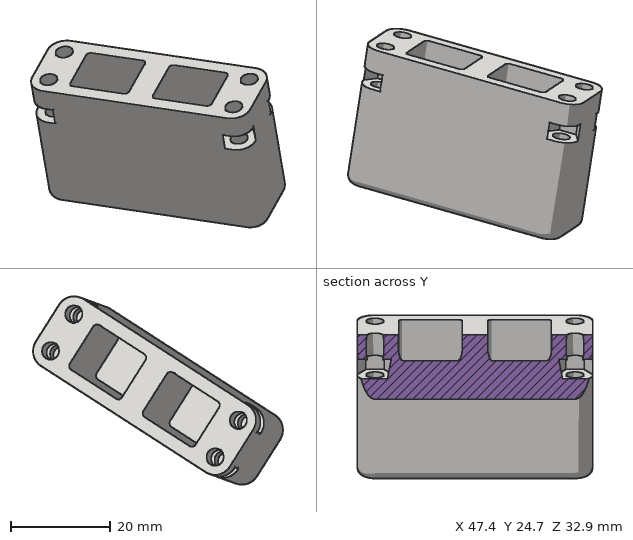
import cadquery as cq
import math

length = 47.4
depth = 16.0
height = 29.73
corner_radius = 3.6
bottom_radius = 1.8
tilt = 20.0

pocket_length = 12.75
pocket_width = 10.6
floor_thickness = 2.0
pocket_depth = height - floor_thickness
pocket_corner_radius = 0.9
pocket_spacing = 17.95

hole_diameter = 3.5
hole_depth = 11.85
hole_x = length / 2 - corner_radius
hole_y = depth / 2 - corner_radius

nut_side = 3.7
nut_apothem = nut_side * math.sqrt(3) / 2
slot_top_gap = 4.75
slot_height = 3.55


def make_block():
    """Rounded block standing upright on the XY plane."""
    block = cq.Workplane("XY").box(length, depth, height, centered=(True, True, False))
    return block.edges("|Z").fillet(corner_radius).faces("<Z").edges().fillet(bottom_radius)


def make_pockets():
    """Pair of rectangular pockets with rounded vertical edges."""
    return (
        cq.Workplane("XY", origin=(0, 0, floor_thickness))
        .rarray(pocket_spacing, 0.47, 2, 1)
        .rect(pocket_length, pocket_width)
        .extrude(pocket_depth)
        .edges("|Z")
        .fillet(pocket_corner_radius)
    )


def make_holes():
    """Four blind screw holes."""
    return (
        cq.Workplane("XY", origin=(0, 0, height - hole_depth))
        .rect(2 * hole_x, 2 * hole_y, forConstruction=True)
        .vertices()
        .circle(hole_diameter / 2)
        .extrude(hole_depth)
    )


def make_nut_slot(side_x, side_y):
    """Hexagonal nut seat around a screw hole, opened outward through the corner."""
    half_flat = nut_side / 2
    mouth_reach = nut_side - corner_radius / math.sqrt(3)
    outline = [
        (hole_x - mouth_reach, depth / 2),
        (hole_x - nut_side, hole_y),
        (hole_x - half_flat, hole_y - nut_apothem),
        (hole_x + half_flat, hole_y - nut_apothem),
        (hole_x + nut_side, hole_y),
        (length / 2, depth / 2),
    ]
    return (
        cq.Workplane("XY", origin=(0, 0, height - slot_top_gap - slot_height))
        .polyline([(side_x * x, side_y * y) for x, y in outline])
        .close()
        .extrude(slot_height)
    )


body = make_block().cut(make_pockets()).cut(make_holes())
for side_x in (-1, 1):
    for side_y in (-1, 1):
        body = body.cut(make_nut_slot(side_x, side_y))

result = body.rotate((0, 0, 0), (1, 0, 0), tilt)